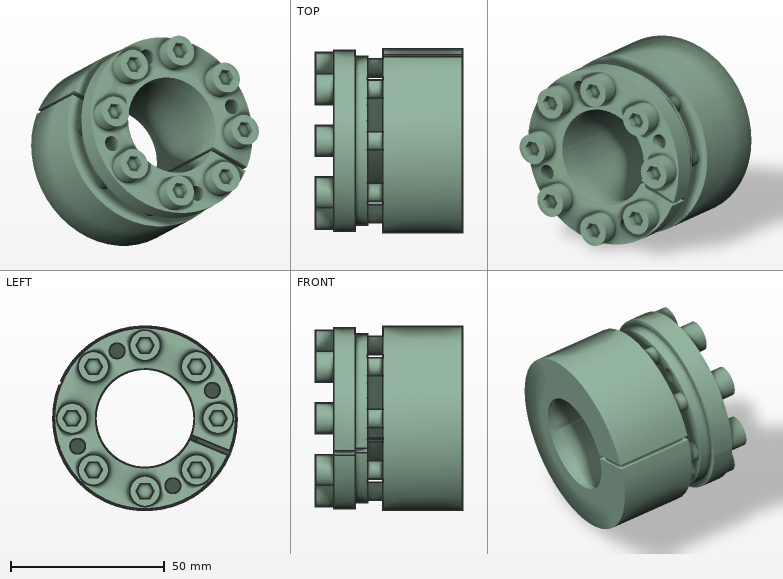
import cadquery as cq
import math


HEAD_HEIGHT = 6.0
FLANGE_WIDTH = 7.0
COLLAR_WIDTH = 4.0
RING_GAP = 5.0
RING_WIDTH = 26.0
FLANGE_START = HEAD_HEIGHT
COLLAR_START = FLANGE_START + FLANGE_WIDTH
COLLAR_END = COLLAR_START + COLLAR_WIDTH
RING_START = COLLAR_END + RING_GAP
RING_END = RING_START + RING_WIDTH

BORE_RADIUS = 16.0
FLANGE_RADIUS = 29.5
COLLAR_RADIUS = 27.5
RING_RADIUS = 30.0
BOLT_CIRCLE_RADIUS = 23.75

TAPER_ANGLE = 4.8
TAPER_SLOPE = math.tan(math.radians(TAPER_ANGLE))
SLEEVE_TIP_WALL = 0.1
SLEEVE_END = RING_END - SLEEVE_TIP_WALL / TAPER_SLOPE

SCREW_COUNT = 8
SCREW_PITCH = 360.0 / SCREW_COUNT
SCREW_ANGLES = [index * SCREW_PITCH for index in range(SCREW_COUNT)]
SHANK_RADIUS = 3.0
SHANK_LENGTH = 35.0
HEAD_RADIUS = 5.0
SOCKET_ACROSS_FLATS = 5.0
SOCKET_DEPTH = 3.0

JACK_HOLE_COUNT = 4
JACK_HOLE_PITCH = 360.0 / JACK_HOLE_COUNT
JACK_HOLE_RADIUS = 2.5
JACK_HOLE_START = 1.5 * SCREW_PITCH

SLIT_WIDTH = 1.5
SLIT_OVERRUN = 1.0
RING_SLIT_ANGLE = SCREW_PITCH / 2
SLEEVE_SLIT_ANGLE = RING_SLIT_ANGLE + 180.0


def taper_radius(x):
    """Radius of the taper at station x."""
    return BORE_RADIUS + (RING_END - x) * TAPER_SLOPE


def revolve_profile(points):
    """Turn a closed (x, radius) profile about the X axis."""
    return cq.Workplane("XY").polyline(points).close().revolve(360, (0, 0, 0), (1, 0, 0))


def rod(start, length, radius, angle):
    """Cylinder along X on the bolt circle at the given angle."""
    y = BOLT_CIRCLE_RADIUS * math.cos(math.radians(angle))
    z = BOLT_CIRCLE_RADIUS * math.sin(math.radians(angle))
    return cq.Workplane("YZ", origin=(start, y, z)).circle(radius).extrude(length)


def slit(angle):
    """Radial slab from the axis outwards, long enough to split either ring."""
    reach = RING_RADIUS + SLIT_OVERRUN
    slab = cq.Workplane("XY").box(RING_END, reach, SLIT_WIDTH, centered=(False, False, True))
    return slab.rotate((0, 0, 0), (1, 0, 0), angle)


def make_screw(angle):
    """Socket head cap screw with a hexagonal socket, two corners of it along Y."""
    head = rod(0, HEAD_HEIGHT, HEAD_RADIUS, angle)
    shank = rod(HEAD_HEIGHT, SHANK_LENGTH, SHANK_RADIUS, angle)
    across_corners = SOCKET_ACROSS_FLATS / math.cos(math.radians(30))
    socket = head.faces("<X").workplane().polygon(6, across_corners).extrude(-SOCKET_DEPTH, combine=False)
    return head.union(shank).cut(socket)


def cut_screw_holes(body):
    """Holes that match the screw shanks."""
    for angle in SCREW_ANGLES:
        body = body.cut(rod(HEAD_HEIGHT, SHANK_LENGTH, SHANK_RADIUS, angle))
    return body


def make_sleeve():
    """Flanged, tapered inner sleeve with jacking holes and one slit."""
    sleeve = revolve_profile([
        (FLANGE_START, BORE_RADIUS),
        (FLANGE_START, FLANGE_RADIUS),
        (COLLAR_START, FLANGE_RADIUS),
        (COLLAR_START, COLLAR_RADIUS),
        (COLLAR_END, COLLAR_RADIUS),
        (COLLAR_END, taper_radius(COLLAR_END)),
        (SLEEVE_END, taper_radius(SLEEVE_END)),
        (SLEEVE_END, BORE_RADIUS),
    ])
    for index in range(JACK_HOLE_COUNT):
        angle = JACK_HOLE_START + index * JACK_HOLE_PITCH
        sleeve = sleeve.cut(rod(FLANGE_START, FLANGE_WIDTH + COLLAR_WIDTH, JACK_HOLE_RADIUS, angle))
    return cut_screw_holes(sleeve).cut(slit(SLEEVE_SLIT_ANGLE))


def make_outer_ring():
    """Cylindrical outer ring with a tapered bore and one slit."""
    ring = revolve_profile([
        (RING_START, taper_radius(RING_START)),
        (RING_START, RING_RADIUS),
        (RING_END, RING_RADIUS),
        (RING_END, BORE_RADIUS),
    ])
    return cut_screw_holes(ring).cut(slit(RING_SLIT_ANGLE))


sleeve = make_sleeve()
outer_ring = make_outer_ring()
screws = [make_screw(angle) for angle in SCREW_ANGLES]

result = cq.Compound.makeCompound([
    sleeve.val(),
    outer_ring.val(),
    *[screw.val() for screw in screws],
])